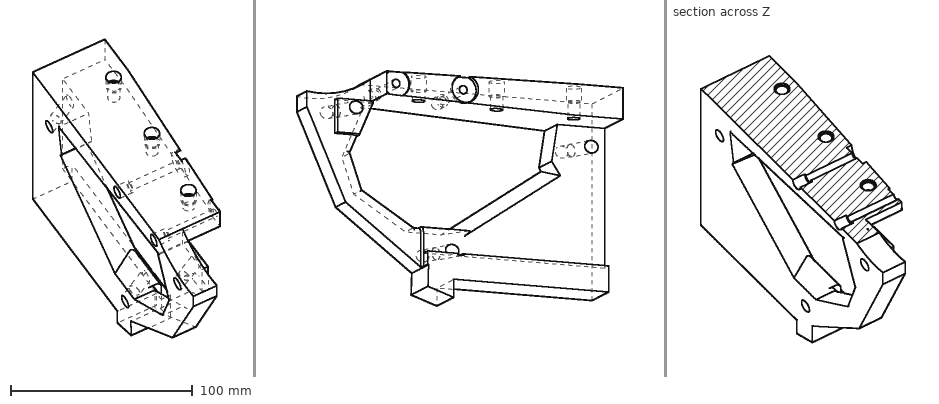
import cadquery as cq
import math

LENGTH = 175.0
DEPTH = 46.0
HEIGHT = 120.96
PLATE_THICKNESS = 19.0
ARM_THICKNESS = 15.0
PLATE_BOTTOM = -110.7
OVERSHOOT = 1.0

TOP_END_X = 137.4
SADDLE_RADIUS = 50.0
SADDLE_CENTRE_X = 167.5

TIP_BOTTOM = -18.4
ELBOW = (152.1, -70.1)
FOOT_TOP = (106.9, -103.7)
FOOT_TOE = (107.3, -115.9)
FOOT_LEFT_X = 92.0

WINDOW_TOP_LEFT = (28.2, -17.6)
WINDOW_TOP_RIGHT = (TOP_END_X, -12.8)
WINDOW_LOWER_OUTLINE = [
    (136.2, -13.7),
    (148.4, -41.6),
    (141.4, -61.8),
    (110.7, -80.6),
    (89.6, -80.6),
    (30.3, -40.5),
    (31.5, -38.5),
]
WINDOW_EDGE_RADIUS = 4.0
WINDOW_SLOPE_DRAFT = 20.0

FLANGE_TAPER_START_X = 25.5
FLANGE_END_DEPTH = 39.2

LEDGE_DEPTH = 25.0
LEDGE_TOP = -96.0

RELIEF_LEFT_X = 107.5
PAD_RIGHT_X = 158.4
PAD_TOP = -13.0
PAD_BOTTOM = -32.0

VERTICAL_HOLE_CENTRES = [(25.6, 36.6), (70.6, 34.7), (115.6, 31.6)]
VERTICAL_HOLE_DIAMETER = 6.7
VERTICAL_BORE_DIAMETER = 8.4
VERTICAL_BORE_DEPTH = 8.0
VERTICAL_HOLE_DEPTH = 25.0

SCREW_CENTRES = [(92.0, -7.0), (131.8, -6.5)]
SCREW_DIAMETER = 4.5
SCREW_BORE_DIAMETER = 7.0
SCREW_BORE_DEPTH = 8.0
SPOTFACE_DIAMETER = 15.2
SPOTFACE_FLOOR_Y = 39.0

SLANTED_HOLES = [
    (18.1, -28.5, 5.9),
    (100.6, -93.4, 8.5),
    (157.5, -17.3, 6.2),
]
SLANTED_MOUTH_DIAMETER = 6.7
SLANTED_REAR_DIAMETER = 7.0
SLANTED_ANGLE = 28.0


def saddle_z(x):
    """Height of the saddle at x; the arc starts on the top face at TOP_END_X."""
    centre_z = math.sqrt(SADDLE_RADIUS**2 - (SADDLE_CENTRE_X - TOP_END_X) ** 2)
    return centre_z - math.sqrt(SADDLE_RADIUS**2 - (SADDLE_CENTRE_X - x) ** 2)


def front_sketch(y):
    """Workplane parallel to the front face at depth y; positive extrusion goes toward +Y."""
    return cq.Workplane(cq.Plane(origin=(0, y, 0), xDir=(1, 0, 0), normal=(0, -1, 0)))


def prism(outline, y_start, y_end):
    """Closed XZ outline extruded from y_start to y_end."""
    return front_sketch(y_start).polyline(outline).close().extrude(y_start - y_end)


def cylinder_y(x, z, diameter, y_start, y_end):
    return front_sketch(y_start).center(x, z).circle(diameter / 2).extrude(y_start - y_end)


def body_outline():
    """Outer profile of the bracket, at the full depth."""
    saddle_mid_x = (TOP_END_X + LENGTH) / 2
    return (
        front_sketch(0)
        .moveTo(0, 0)
        .lineTo(TOP_END_X, 0)
        .threePointArc((saddle_mid_x, saddle_z(saddle_mid_x)), (LENGTH, saddle_z(LENGTH)))
        .lineTo(LENGTH, TIP_BOTTOM)
        .lineTo(*ELBOW)
        .lineTo(*FOOT_TOP)
        .lineTo(*FOOT_TOE)
        .lineTo(FOOT_LEFT_X, -HEIGHT)
        .lineTo(FOOT_LEFT_X, PLATE_BOTTOM)
        .lineTo(0, PLATE_BOTTOM)
        .close()
        .extrude(-DEPTH)
    )


def window_top_z(x):
    """Height of the window's sloping top edge, continued to any x."""
    (x1, z1), (x2, z2) = WINDOW_TOP_LEFT, WINDOW_TOP_RIGHT
    return z1 + (z2 - z1) * (x - x1) / (x2 - x1)


def window_slope_wedge():
    """Wedge that makes the window's long lower left side fall away toward the rear."""
    (x1, z1), (x2, z2) = WINDOW_LOWER_OUTLINE[4:6]
    side_length = math.hypot(x2 - x1, z2 - z1)
    drop = PLATE_THICKNESS * math.tan(math.radians(WINDOW_SLOPE_DRAFT))
    along = cq.Vector(x2 - x1, 0, z2 - z1)
    across = cq.Plane(origin=(x1, 0, z1), xDir=(0, 1, 0), normal=along)
    wedge = (
        cq.Workplane(across)
        .polyline([(0, 0), (PLATE_THICKNESS, 0), (PLATE_THICKNESS, drop)])
        .close()
        .extrude(side_length)
    )
    above_floor = cq.Workplane().box(LENGTH, PLATE_THICKNESS, -z1, centered=False)
    return wedge.intersect(above_floor.translate((0, 0, z1)))


def make_plate(body):
    layer = cq.Workplane().box(LENGTH, PLATE_THICKNESS, HEIGHT, centered=False)
    plate = body.intersect(layer.translate((0, 0, -HEIGHT)))
    relief = prism(
        [
            (RELIEF_LEFT_X, -HEIGHT),
            (RELIEF_LEFT_X, PAD_BOTTOM),
            (PAD_RIGHT_X, PAD_BOTTOM),
            (PAD_RIGHT_X, PAD_TOP),
            (TOP_END_X, PAD_TOP),
            (TOP_END_X, OVERSHOOT),
            (LENGTH + OVERSHOOT, OVERSHOOT),
            (LENGTH + OVERSHOOT, -HEIGHT),
        ],
        ARM_THICKNESS,
        PLATE_THICKNESS + OVERSHOOT,
    )
    window = prism(
        [WINDOW_TOP_LEFT, WINDOW_TOP_RIGHT] + WINDOW_LOWER_OUTLINE,
        -OVERSHOOT,
        PLATE_THICKNESS + OVERSHOOT,
    )
    return plate.cut(relief).cut(window).cut(window_slope_wedge())


def point_at_z(start, end, z):
    """Point on the line through two XZ points at the given height."""
    return (start[0] + (end[0] - start[0]) * (z - start[1]) / (end[1] - start[1]), z)


def round_window_edges(plate):
    """Rounds the rear edges of the window along its right sides and floor."""
    upper, right, lower, floor_right, floor_left = WINDOW_LOWER_OUTLINE[:5]
    pad_corner = point_at_z(upper, right, PAD_BOTTOM)
    relief_corner = (RELIEF_LEFT_X, floor_right[1])
    arm_edges = [
        (pad_corner, right),
        (right, lower),
        (lower, floor_right),
        (floor_right, relief_corner),
    ]
    plate_edges = [(upper, pad_corner), (relief_corner, floor_left)]
    for edges, y in [(arm_edges, ARM_THICKNESS), (plate_edges, PLATE_THICKNESS)]:
        rounded = cq.Workplane(plate.val())
        found = []
        for start, end in edges:
            middle = ((start[0] + end[0]) / 2, y, (start[1] + end[1]) / 2)
            found += rounded.edges(cq.selectors.NearestToPointSelector(middle)).vals()
        plate = rounded.newObject(found).fillet(WINDOW_EDGE_RADIUS)
    return plate


def make_flange():
    """Top flange with a tapering rear edge and an underside in line with the window's top."""
    flat_x = WINDOW_TOP_LEFT[0]
    section = prism(
        [
            (0, 0),
            (TOP_END_X, 0),
            (TOP_END_X, window_top_z(TOP_END_X)),
            (flat_x, window_top_z(flat_x)),
            (0, window_top_z(flat_x)),
        ],
        0,
        DEPTH,
    )
    footprint = (
        cq.Workplane()
        .polyline(
            [
                (0, 0),
                (TOP_END_X, 0),
                (TOP_END_X, FLANGE_END_DEPTH),
                (FLANGE_TAPER_START_X, DEPTH),
                (0, DEPTH),
            ]
        )
        .close()
        .extrude(-HEIGHT)
    )
    return section.intersect(footprint)


def make_ledge(body):
    box = cq.Workplane().box(FOOT_TOE[0], LEDGE_DEPTH, HEIGHT + LEDGE_TOP, centered=False)
    return body.intersect(box.translate((0, 0, -HEIGHT)))


def vertical_hole(x, y):
    top = cq.Workplane().center(x, y)
    hole = top.circle(VERTICAL_HOLE_DIAMETER / 2).extrude(-VERTICAL_HOLE_DEPTH)
    bore = top.circle(VERTICAL_BORE_DIAMETER / 2).extrude(-VERTICAL_BORE_DEPTH)
    return hole.union(bore)


def screw_hole(x, z):
    hole = cylinder_y(x, z, SCREW_DIAMETER, 0, DEPTH)
    bore = cylinder_y(x, z, SCREW_BORE_DIAMETER, 0, SCREW_BORE_DEPTH)
    spotface = cylinder_y(x, z, SPOTFACE_DIAMETER, SPOTFACE_FLOOR_Y, DEPTH)
    return hole.union(bore).union(spotface)


def slanted_hole(x, z, step_y):
    """Leaning bore through the plate; it widens where its axis is step_y behind the front face."""
    angle = math.radians(SLANTED_ANGLE)
    axis = cq.Plane(origin=(x, 0, z), xDir=(0, 0, 1), normal=(-math.sin(angle), math.cos(angle), 0))
    step_length = step_y / math.cos(angle)
    through_length = PLATE_THICKNESS / math.cos(angle) + SLANTED_REAR_DIAMETER
    mouth = cq.Workplane(axis).circle(SLANTED_MOUTH_DIAMETER / 2).extrude(through_length, both=True)
    rear_start = cq.Workplane(axis).workplane(offset=step_length)
    rear = rear_start.circle(SLANTED_REAR_DIAMETER / 2).extrude(through_length - step_length)
    return mouth.union(rear)


body = body_outline()
result = round_window_edges(make_plate(body)).union(make_flange()).union(make_ledge(body))
for hole_x, hole_y in VERTICAL_HOLE_CENTRES:
    result = result.cut(vertical_hole(hole_x, hole_y))
for screw_x, screw_z in SCREW_CENTRES:
    result = result.cut(screw_hole(screw_x, screw_z))
for slanted_x, slanted_z, slanted_step_y in SLANTED_HOLES:
    result = result.cut(slanted_hole(slanted_x, slanted_z, slanted_step_y))